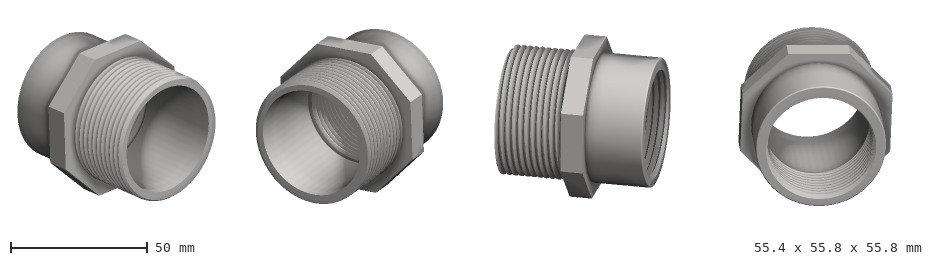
import cadquery as cq
import math

total_length = 55.4
socket_length = 21.45
flange_width = 8.3
flange_end = socket_length + flange_width
spigot_length = total_length - flange_end

flange_across_flats = 55.0
flange_tilt = 2.2
flange_sides = 8

socket_diameter = 47.8
socket_rim_radius = 0.5
spigot_thread_diameter = socket_diameter
spigot_core_diameter = 44.8
bore_diameter = 40.95
thread_bore_diameter = 41.95
thread_bore_depth = socket_length
bore_taper_length = 1.0

thread_turns = 11
pitched_length = 25.4
thread_pitch = pitched_length / thread_turns
thread_height = (spigot_thread_diameter - spigot_core_diameter) / 2
crest_width = 0.35
root_width = 2.0
root_overrun = 0.15
end_to_outer_crest = 1.5
outer_crest_at_top = total_length - end_to_outer_crest
inner_crest_at_top = 0.0
inner_thread_length = thread_bore_depth


def cylinder(diameter, start, length):
    """Cylinder along X."""
    return cq.Workplane("YZ", origin=(start, 0, 0)).circle(diameter / 2).extrude(length)


def thread_ridge(root_radius, direction, crest_at_top, start, end):
    """Helical ridge about X that covers start to end; direction is +1 outward, -1 inward."""
    turns_before = math.ceil((crest_at_top - start) / thread_pitch) + 1
    first_crest = crest_at_top - turns_before * thread_pitch
    turns = math.ceil((end - first_crest) / thread_pitch) + 1
    flank_slope = (root_width - crest_width) / 2 / thread_height
    base_half = root_width / 2 + root_overrun * flank_slope
    crest_half = crest_width / 2
    base_radius = root_radius - direction * root_overrun
    crest_radius = root_radius + direction * thread_height
    helix = cq.Wire.makeHelix(thread_pitch, turns * thread_pitch, root_radius)
    ridge = (
        cq.Workplane("XZ")
        .polyline([
            (base_radius, -base_half),
            (crest_radius, -crest_half),
            (crest_radius, crest_half),
            (base_radius, base_half),
        ])
        .close()
        .sweep(cq.Workplane(obj=helix), isFrenet=True)
    )
    ridge = ridge.rotate((0, 0, 0), (0, 1, 0), 90)
    return ridge.rotate((0, 0, 0), (1, 0, 0), 180).translate((first_crest, 0, 0))


def end_trim(start, end):
    """Block that keeps only what lies between two planes square to X."""
    side = 2 * flange_across_flats
    return cq.Workplane("YZ", origin=(start, 0, 0)).rect(side, side).extrude(end - start)


def make_fitting():
    socket = cylinder(socket_diameter, 0, socket_length).faces("<X").fillet(socket_rim_radius)
    flange = (
        cq.Workplane("YZ", origin=(socket_length, 0, 0))
        .polygon(flange_sides, flange_across_flats, circumscribed=True)
        .extrude(flange_width)
        .rotate((0, 0, 0), (1, 0, 0), flange_tilt)
    )
    spigot = cylinder(spigot_core_diameter, flange_end, spigot_length)
    bore = cylinder(bore_diameter, 0, total_length)
    thread_bore = cylinder(thread_bore_diameter, 0, thread_bore_depth)
    taper = cq.Workplane(obj=cq.Solid.makeCone(
        thread_bore_diameter / 2,
        bore_diameter / 2,
        bore_taper_length,
        pnt=cq.Vector(thread_bore_depth, 0, 0),
        dir=cq.Vector(1, 0, 0),
    ))
    return socket.union(flange).union(spigot).cut(bore).cut(thread_bore).cut(taper)


def make_outer_thread():
    ridge = thread_ridge(spigot_core_diameter / 2, 1, outer_crest_at_top, flange_end, total_length)
    trimmed = ridge.intersect(end_trim(flange_end, total_length))
    return trimmed.cut(cylinder(spigot_core_diameter, -total_length, 3 * total_length))


def make_inner_thread():
    ridge = thread_ridge(thread_bore_diameter / 2, -1, inner_crest_at_top, 0, inner_thread_length)
    trimmed = ridge.intersect(end_trim(0, inner_thread_length))
    return trimmed.intersect(cylinder(thread_bore_diameter, -total_length, 3 * total_length))


fitting = make_fitting()
outer_thread = make_outer_thread()
inner_thread = make_inner_thread()

result = cq.Compound.makeCompound([
    fitting.val(),
    *outer_thread.solids().vals(),
    *inner_thread.solids().vals(),
])